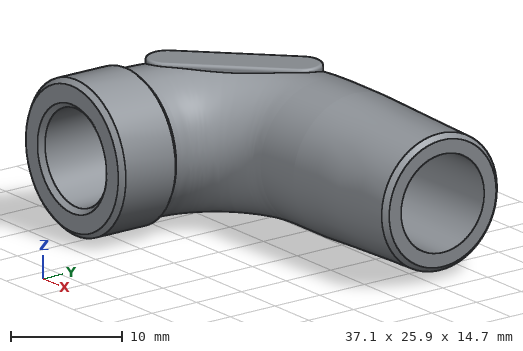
import cadquery as cq
import math

tube_diameter = 13.7
bore_diameter = 9.3
inner_bend_radius = 5.0
bend_radius = inner_bend_radius + tube_diameter / 2

overall_length = 37.15
overall_width = 25.85

edge_chamfer = 0.5

collar_diameter = 14.7
collar_length = 6.0

spigot_length = 13.08
spigot_taper = 1 / 16

pad_angle = 45
pad_width = 4.0
pad_length = 16.0
pad_rise = 0.3
pad_fillet = 0.3

spigot_axis_y = overall_width - tube_diameter / 2
spigot_end_x = overall_length - collar_diameter / 2
bend_start_y = spigot_axis_y - bend_radius
bend_middle_inset = bend_radius * (1 - math.cos(math.pi / 4))
bend_middle = (bend_middle_inset, spigot_axis_y - bend_middle_inset)
spigot_start_x = spigot_end_x - spigot_length
pad_top_z = tube_diameter / 2 + pad_rise
collar_step = (collar_diameter - tube_diameter) / 2


def elbow_path():
    """Centreline from the socket mouth, round the bend, to the spigot end."""
    return (
        cq.Workplane("XY")
        .lineTo(0, bend_start_y)
        .threePointArc(bend_middle, (bend_radius, spigot_axis_y))
        .lineTo(spigot_end_x, spigot_axis_y)
    )


def elbow_rod(diameter):
    """Solid round rod following the whole centreline."""
    return cq.Workplane("XZ").circle(diameter / 2).sweep(elbow_path())


def elbow_body():
    """Tube of constant diameter, stopping where the tapered spigot starts."""
    spigot_space = (
        cq.Workplane("YZ", origin=(spigot_start_x, spigot_axis_y, 0))
        .circle(collar_diameter / 2)
        .extrude(spigot_length)
    )
    return elbow_rod(tube_diameter).cut(spigot_space)


def collar():
    """Socket collar with a chamfered mouth and a 45 degree shoulder."""
    mouth_radius = collar_diameter / 2 - edge_chamfer
    profile = [
        (0, 0),
        (mouth_radius, 0),
        (collar_diameter / 2, edge_chamfer),
        (collar_diameter / 2, collar_length),
        (tube_diameter / 2, collar_length + collar_step),
        (0, collar_length + collar_step),
    ]
    return cq.Workplane("XY").polyline(profile).close().revolve(360, (0, 0), (0, 1))


def spigot():
    """Tapered spigot with a chamfered end."""
    chamfer_x = spigot_end_x - edge_chamfer
    chamfer_radius = (tube_diameter - (spigot_length - edge_chamfer) * spigot_taper) / 2
    profile = [
        (spigot_start_x, 0),
        (spigot_start_x, tube_diameter / 2),
        (chamfer_x, chamfer_radius),
        (spigot_end_x, chamfer_radius - edge_chamfer),
        (spigot_end_x, 0),
    ]
    return (
        cq.Workplane("XY", origin=(0, spigot_axis_y, 0))
        .polyline(profile)
        .close()
        .revolve(360, (0, 0), (1, 0))
    )


def raised_pad():
    """Round-ended pad centred on the middle of the bend."""
    return (
        cq.Workplane("XY")
        .center(*bend_middle)
        .slot2D(pad_length, pad_width, pad_angle)
        .extrude(pad_top_z)
        .faces(">Z")
        .fillet(pad_fillet)
    )


def bore():
    """Passage through the whole elbow, chamfered at the socket mouth."""
    mouth_radius = bore_diameter / 2 + edge_chamfer
    profile = [
        (0, 0),
        (mouth_radius, 0),
        (bore_diameter / 2, edge_chamfer),
        (0, edge_chamfer),
    ]
    mouth = cq.Workplane("XY").polyline(profile).close().revolve(360, (0, 0), (0, 1))
    return elbow_rod(bore_diameter).union(mouth)


result = elbow_body().union(spigot()).union(collar()).union(raised_pad()).cut(bore())